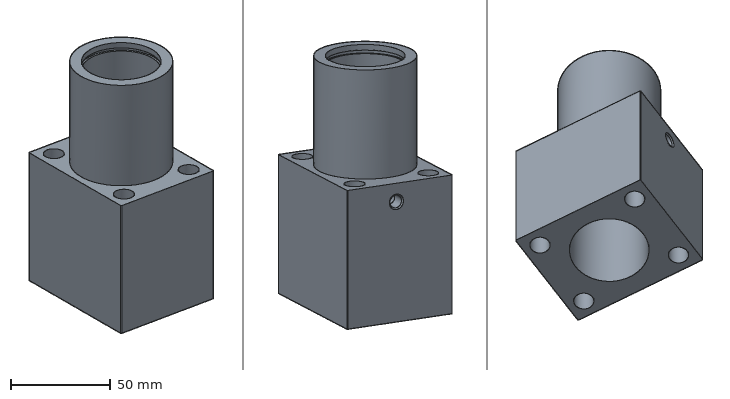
import cadquery as cq

total_height = 130.0
block_length = 74.0
block_width = 60.0
block_height = 72.8
corner_chamfer = 0.4

sleeve_diameter = 52.0
bore_diameter = 40.0
groove_diameter = 42.5
groove_depth = 3.0
groove_height = 1.8

mount_diameter = 10.5
mount_lower_diameter = 10.1
mount_lower_height = 26.0
mount_spacing_x = 56.0
mount_spacing_y = 42.0

port_offset_y = 2.0
port_below_block_top = 9.8
port_rim_diameter = 8.0
port_diameter = 6.6
port_passage_diameter = 4.3
port_depth = 8.0


def vertical_cylinder(diameter, bottom, height):
    return cq.Workplane("XY").workplane(offset=bottom).circle(diameter / 2).extrude(height)


def make_body():
    """Rectangular block with bevelled upright corners and a sleeve on top."""
    block = cq.Workplane("XY").box(block_length, block_width, block_height, centered=(True, True, False))
    block = block.edges("|Z").chamfer(corner_chamfer)
    return block.union(vertical_cylinder(sleeve_diameter, 0, total_height))


def make_bore():
    """Through bore with a retaining ring groove near the sleeve mouth."""
    groove_bottom = total_height - groove_depth - groove_height
    groove = vertical_cylinder(groove_diameter, groove_bottom, groove_height)
    return vertical_cylinder(bore_diameter, 0, total_height).union(groove)


def make_mount_holes():
    """Four through holes, each slightly narrower in its lower length."""
    hole = vertical_cylinder(mount_lower_diameter, 0, mount_lower_height).union(
        vertical_cylinder(mount_diameter, mount_lower_height, block_height - mount_lower_height)
    )
    return (
        cq.Workplane("XY")
        .rarray(mount_spacing_x, mount_spacing_y, 2, 2)
        .eachpoint(lambda location: hole.val().moved(location), combine=False)
    )


def make_port():
    """Port with 45 degree countersink, conical floor and a passage into the bore."""
    countersink_depth = (port_rim_diameter - port_diameter) / 2
    floor_depth = (port_diameter - port_passage_diameter) / 2
    passage_end = block_length / 2
    profile = (
        cq.Workplane("XY")
        .moveTo(0, 0)
        .lineTo(port_rim_diameter / 2, 0)
        .lineTo(port_diameter / 2, countersink_depth)
        .lineTo(port_diameter / 2, port_depth)
        .lineTo(port_passage_diameter / 2, port_depth + floor_depth)
        .lineTo(port_passage_diameter / 2, passage_end)
        .lineTo(0, passage_end)
        .close()
    )
    port = profile.revolve(360, (0, 0), (0, 1)).rotate((0, 0, 0), (0, 0, 1), -90)
    return port.translate((-block_length / 2, port_offset_y, block_height - port_below_block_top))


result = make_body().cut(make_bore()).cut(make_mount_holes()).cut(make_port())